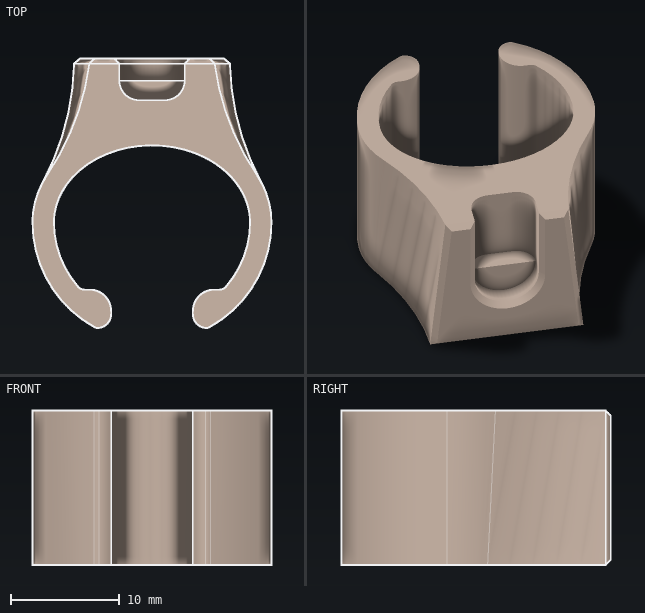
import cadquery as cq
import math

height = 14.2
outer_width = 22.0
outer_radius = outer_width / 2
bore_radius = 9.0
wall = outer_radius - bore_radius
bore_crown = 7.07
outer_crown = bore_crown + wall

lip_inner_x = 3.75
lip_top_y = -6.17
lip_radius = 1.98
lip_root_fillet = 0.75
lip_flank_y = -8.43
lip_end = (4.9, -9.72)
lip_heel_x = 5.33

pad_y = 15.07
pad_chamfer = 0.5
flare_mid_y = 7.55
top_pad_half_width = 5.7
top_flare_mid_x = 7.8
top_seam_y = 4.44
bottom_pad_half_width = 7.16
bottom_flare_mid_x = 8.38
bottom_seam_y = 3.72

slot_width = 6.0
slot_depth = 3.85
slot_corner_radius = 1.78
screw_hole_depth = 2.05
slot_floor_z = height / 2


def point_on_circle(radius, angle):
    return (radius * math.cos(angle), radius * math.sin(angle))


def arm():
    """The +X half of the open ring, from the bore's widest point to the lip."""
    lip_center = (lip_inner_x + lip_radius, lip_top_y - lip_radius)
    diagonal = lip_radius * math.sqrt(0.5)
    root = (math.sqrt(bore_radius**2 - lip_top_y**2), lip_top_y)
    heel_angle = math.acos(lip_heel_x / outer_radius)
    heel = point_on_circle(outer_radius, -heel_angle)
    return (
        cq.Workplane("XY")
        .moveTo(bore_radius, 0)
        .threePointArc(point_on_circle(bore_radius, math.atan2(root[1], root[0]) / 2), root)
        .lineTo(lip_center[0], lip_top_y)
        .threePointArc(
            (lip_center[0] - diagonal, lip_center[1] + diagonal),
            (lip_inner_x, lip_center[1]),
        )
        .lineTo(lip_inner_x, lip_flank_y)
        .tangentArcPoint(lip_end, relative=False)
        .tangentArcPoint(heel, relative=False)
        .threePointArc(point_on_circle(outer_radius, -heel_angle / 2), (outer_radius, 0))
        .close()
        .extrude(height)
        .edges(cq.NearestToPointSelector((root[0], root[1], height / 2)))
        .fillet(lip_root_fillet)
    )


def upper_outline(z, pad_half_width, mid_x, seam_y):
    """Upper half of the ring blending into the mount pad, at one height."""
    seam_angle = math.asin(seam_y / outer_crown)
    seam_x = outer_radius * math.cos(seam_angle)
    seam_degrees = math.degrees(seam_angle)
    return (
        cq.Workplane("XY", origin=(0, 0, z))
        .moveTo(outer_radius, 0)
        .ellipseArc(outer_radius, outer_crown, 0, seam_degrees, startAtCurrent=True)
        .threePointArc((mid_x, flare_mid_y), (pad_half_width, pad_y))
        .lineTo(-pad_half_width, pad_y)
        .threePointArc((-mid_x, flare_mid_y), (-seam_x, seam_y))
        .ellipseArc(outer_radius, outer_crown, 180 - seam_degrees, 180, startAtCurrent=True)
        .close()
        .wire()
        .val()
    )


def upper_body():
    """Upper ring and flared mount, which narrows from bottom to top."""
    bottom = upper_outline(0, bottom_pad_half_width, bottom_flare_mid_x, bottom_seam_y)
    top = upper_outline(height, top_pad_half_width, top_flare_mid_x, top_seam_y)
    return cq.Workplane(cq.Solid.makeLoft([bottom, top], True))


def upper_bore():
    return (
        cq.Workplane("XY")
        .moveTo(bore_radius, 0)
        .ellipseArc(bore_radius, bore_crown, 0, 180, startAtCurrent=True)
        .close()
        .extrude(height)
    )


def screw_slot():
    """Vertical slot with a flat floor, and a round screw seat in front of it."""
    slot = (
        cq.Workplane("XY")
        .box(slot_width, slot_depth, height - slot_floor_z, centered=(True, False, False))
        .edges("|Z and <Y")
        .fillet(slot_corner_radius)
        .translate((0, pad_y - slot_depth, slot_floor_z))
    )
    screw_hole = (
        cq.Workplane("XZ", origin=(0, pad_y, slot_floor_z))
        .circle(slot_width / 2)
        .extrude(screw_hole_depth)
    )
    return slot.union(screw_hole)


def slot_mouth():
    """45 degree bevel around the slot and screw seat where they open on the pad face."""
    mouth_radius = slot_width / 2 + pad_chamfer
    rim_height = height
    return (
        cq.Workplane("XZ", origin=(0, pad_y, slot_floor_z))
        .moveTo(-mouth_radius, rim_height)
        .lineTo(-mouth_radius, 0)
        .threePointArc((0, -mouth_radius), (mouth_radius, 0))
        .lineTo(mouth_radius, rim_height)
        .close()
        .extrude(pad_chamfer, taper=45)
    )


body = upper_body().faces(">Y").chamfer(pad_chamfer)
body = body.cut(upper_bore()).cut(screw_slot()).cut(slot_mouth())
result = body.union(arm()).union(arm().mirror("YZ"))